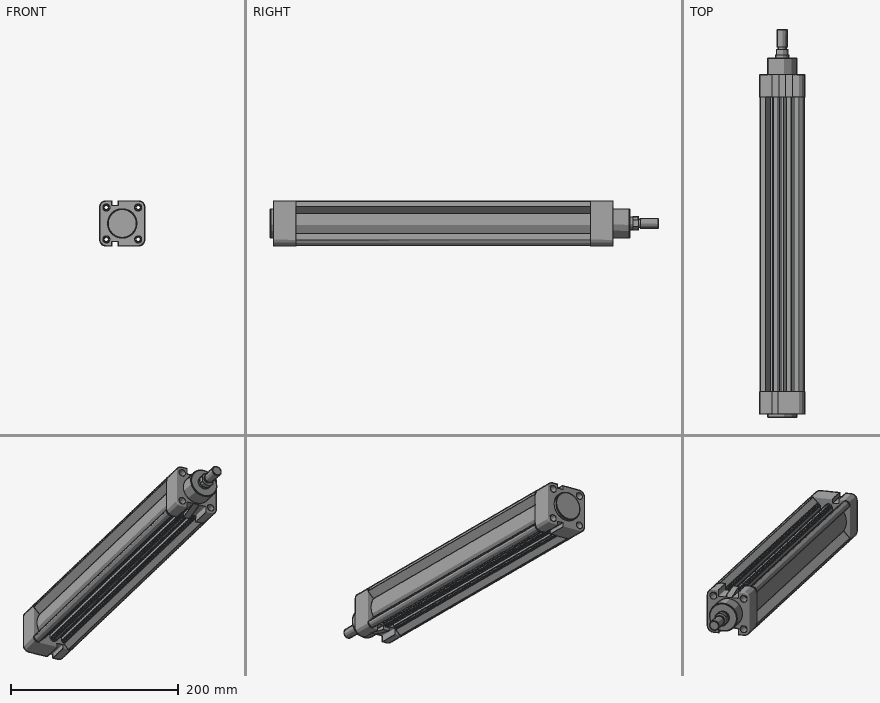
import cadquery as cq
import math


cap_length = 27.0
caps_span = 405.0
barrel_start = cap_length
barrel_end = caps_span - cap_length

cap_size = 54.0
half_cap = cap_size / 2
cap_corner_radius = 8.0
cap_edge_radius = 1.0

spigot_diameter = 35.0
spigot_chamfer = 0.8
rear_spigot_length = 4.0
front_spigot_length = 20.0

screw_spacing = 38.0
screw_hole_diameter = 5.2
screw_counterbore_diameter = 8.5
screw_counterbore_depth = 16.0

rear_recess_floor = 21.6
front_recess_floor = 19.0
recess_half_width = 12.5
recess_fillet = 1.0
rear_recess_inner_edge = -4.9
ramp_half_width = 4.0
ramp_rise = 5.6

half_barrel = 26.5
barrel_corner_radius = 6.0
groove_half_width = 20.0
slotted_groove_depth = 6.2
slotted_groove_foot = groove_half_width - slotted_groove_depth
tube_groove_depth = 8.0
tube_half_height = groove_half_width - tube_groove_depth
tube_foot = half_barrel - tube_groove_depth
tube_radius = math.hypot(tube_foot, tube_half_height)

slot_offset = 7.7
slot_top = half_barrel - slotted_groove_depth
slot_mouth_width = 2 * (slotted_groove_foot - slot_offset)
slot_ledge_width = 8.4
slot_floor_width = 5.6
slot_mouth_depth = 1.5
slot_ledge_depth = 3.5
slot_depth = 8.0

rod_start = caps_span + front_spigot_length
rod_body_length = 10.0
rod_end_length = 24.0
rod_shoulder = rod_start + rod_body_length
rod_tip = rod_shoulder + rod_end_length
rod_diameter = 16.0
rod_neck_diameter = 15.6
rod_flats_width = 14.0
rod_flats_length = 6.5
thread_diameter = 12.0
thread_length = 21.3
thread_chamfer = 0.6
relief_diameter = 10.0


def section_at(y):
    """XZ sketch plane at the given Y. Extruding it by a negative length goes toward +Y."""
    return cq.Workplane("XZ", origin=(0, y, 0))


def round_bar(diameter, start, end):
    return section_at(start).circle(diameter / 2).extrude(start - end)


def square_bar(half_width, corner_radius, start, end):
    bar = section_at(start).rect(2 * half_width, 2 * half_width).extrude(start - end)
    return bar.edges("|Y").fillet(corner_radius)


def prism(points, start, end):
    return section_at(start).polyline(points).close().extrude(start - end)


def top_and_bottom(tool):
    return tool.union(tool.mirror("XY"))


def left_and_right(tool):
    return tool.union(tool.mirror("YZ"))


def make_cap(start, end):
    cap = square_bar(half_cap, cap_corner_radius, start, end)
    return cap.faces("<Y or >Y").edges().fillet(cap_edge_radius)


def cap_recess(left, right, start, end, floor):
    """Open-topped recess between two X positions."""
    size = (right - left, end - start, half_cap - floor)
    corner = (left, start, floor)
    return cq.Workplane().box(*size, centered=False).translate(corner)


def make_rear_cap():
    recess = cap_recess(-recess_half_width, rear_recess_inner_edge, 0, barrel_start, rear_recess_floor)
    recess = recess.edges("|Y and <X and <Z").fillet(recess_fillet)
    return make_cap(0, barrel_start).cut(top_and_bottom(recess))


def make_front_cap():
    recess = cap_recess(-recess_half_width, recess_half_width, barrel_end, caps_span, front_recess_floor)
    recess = recess.edges("|Y and <Z").fillet(recess_fillet)
    ramp = (
        cq.Workplane("YZ")
        .moveTo(barrel_end, front_recess_floor)
        .lineTo(caps_span, front_recess_floor)
        .lineTo(barrel_end, front_recess_floor + ramp_rise)
        .close()
        .extrude(ramp_half_width, both=True)
    )
    recess = recess.cut(ramp)
    return make_cap(barrel_end, caps_span).cut(top_and_bottom(recess))


def slotted_groove():
    groove = prism(
        [
            (-groove_half_width, half_barrel),
            (-slotted_groove_foot, slot_top),
            (slotted_groove_foot, slot_top),
            (groove_half_width, half_barrel),
        ],
        barrel_start,
        barrel_end,
    )
    half_slot = [
        (slot_mouth_width / 2, slot_top),
        (slot_mouth_width / 2, slot_top - slot_mouth_depth),
        (slot_ledge_width / 2, slot_top - slot_mouth_depth),
        (slot_ledge_width / 2, slot_top - slot_ledge_depth),
        (slot_floor_width / 2, slot_top - slot_ledge_depth),
        (slot_floor_width / 2, slot_top - slot_depth),
    ]
    right_wall = [(slot_offset + x, z) for x, z in half_slot]
    left_wall = [(slot_offset - x, z) for x, z in reversed(half_slot)]
    slot = prism(right_wall + left_wall, barrel_start, barrel_end)
    return groove.union(left_and_right(slot))


def tube_groove():
    return (
        section_at(barrel_start)
        .moveTo(half_barrel, groove_half_width)
        .lineTo(tube_foot, tube_half_height)
        .threePointArc((tube_radius, 0), (tube_foot, -tube_half_height))
        .lineTo(half_barrel, -groove_half_width)
        .close()
        .extrude(barrel_start - barrel_end)
    )


def make_barrel():
    barrel = square_bar(half_barrel, barrel_corner_radius, barrel_start, barrel_end)
    barrel = barrel.cut(top_and_bottom(slotted_groove()))
    return barrel.cut(left_and_right(tube_groove()))


def screw_hole(x, z):
    hole = round_bar(screw_hole_diameter, 0, caps_span)
    rear_counterbore = round_bar(screw_counterbore_diameter, 0, screw_counterbore_depth)
    front_counterbore = round_bar(screw_counterbore_diameter, caps_span - screw_counterbore_depth, caps_span)
    return hole.union(rear_counterbore).union(front_counterbore).translate((x, 0, z))


def make_housing():
    rear_spigot = round_bar(spigot_diameter, -rear_spigot_length, 0)
    rear_spigot = rear_spigot.faces("<Y").chamfer(spigot_chamfer)
    front_spigot = round_bar(spigot_diameter, caps_span, rod_start)
    front_spigot = front_spigot.faces(">Y").chamfer(spigot_chamfer)

    body = make_barrel()
    for part in (make_rear_cap(), make_front_cap(), rear_spigot, front_spigot):
        body = body.union(part)
    for x in (-screw_spacing / 2, screw_spacing / 2):
        for z in (-screw_spacing / 2, screw_spacing / 2):
            body = body.cut(screw_hole(x, z))
    return body


def make_rod():
    flats_start = rod_shoulder - rod_flats_length
    relief_end = rod_tip - thread_length
    flats = section_at(flats_start).rect(rod_flats_width, rod_diameter).extrude(-rod_flats_length)
    flatted_end = round_bar(rod_diameter, flats_start, rod_shoulder).intersect(flats)
    thread = round_bar(thread_diameter, relief_end, rod_tip).faces(">Y").chamfer(thread_chamfer)

    body = round_bar(rod_neck_diameter, rod_start, flats_start)
    for part in (flatted_end, round_bar(relief_diameter, rod_shoulder, relief_end), thread):
        body = body.union(part)
    return body


housing = make_housing()
piston_rod = make_rod()
result = cq.Compound.makeCompound([housing.val(), piston_rod.val()])